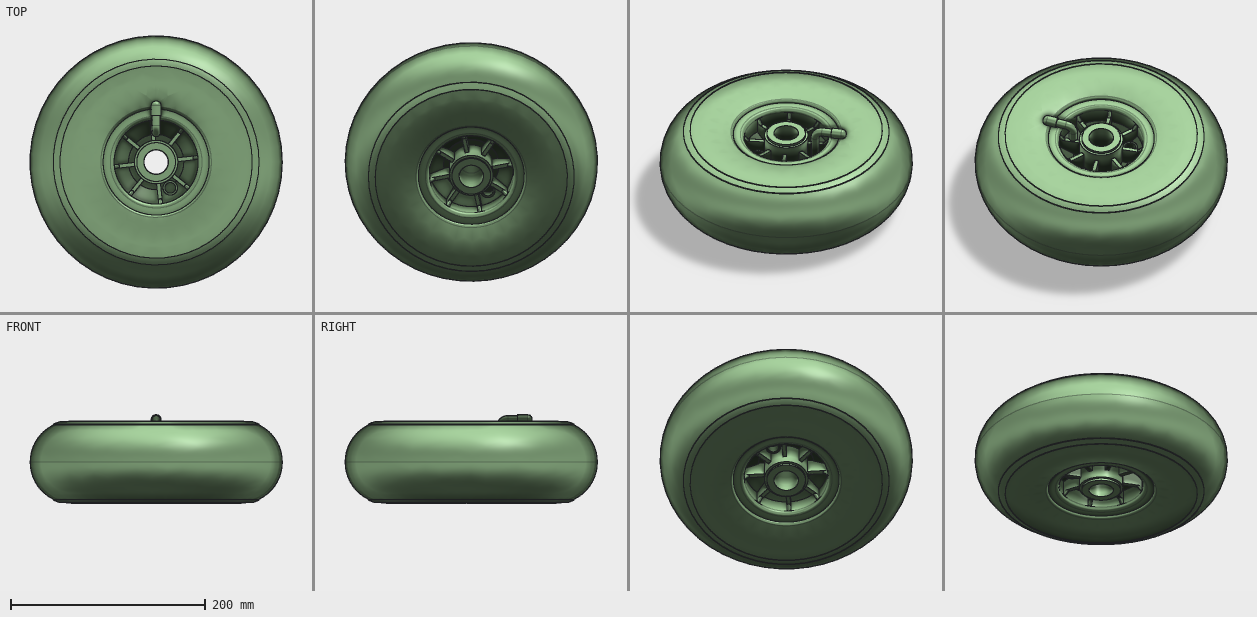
import cadquery as cq
import math

TYRE_RADIUS = 130.0
TYRE_HALF_WIDTH = 42.5
CROWN_RADIUS = TYRE_RADIUS - TYRE_HALF_WIDTH
BAND_OUTER = 106.0
BAND_INNER = 99.0
BAND_HEIGHT = 0.8
SIDEWALL_CREST = 83.0
LIP_RADIUS = 57.0
LIP_HEIGHT = 38.5
LIP_ROUNDING = 3.2

RIM_RADIUS = 54.6
RIM_HALF_WIDTH = 35.5
DISH_RADIUS = 43.3
DISH_EDGE_FILLET = 4.0
CONE_TOP = 15.6
CONE_INNER = 28.5
CONE_BOTTOM = 8.4
FLOOR_HEIGHT = 7.4
HUB_RADIUS = 22.4
HUB_HALF_LENGTH = 35.0

RIB_COUNT = 8
RIB_ANGLE = 6.25
RIB_THICKNESS = 4.0
RIB_TOP = 26.2
RIB_RAMP_HEIGHT = RIM_HALF_WIDTH - DISH_EDGE_FILLET - RIB_TOP
RIB_RAMP_START = DISH_RADIUS - RIB_RAMP_HEIGHT
RAMP_DIRECTION = cq.Vector(1, 0, 1)
RIB_RAMP_ROUNDING = 1.8
RIB_EMBED = 1.0

BOSS_ANGLE = RIB_ANGLE - 1.5 * 360.0 / RIB_COUNT
BOSS_DISTANCE = 30.3
BOSS_RADIUS = 7.5
BOSS_BORE_RADIUS = 5.5
BOSS_TOP = 17.0

SLEEVE_RADIUS = 20.0
SLEEVE_HALF_LENGTH = 37.5
BORE_RADIUS = 12.5

OVERALL_TOP = 48.85
CAP_RADIUS = 5.1
STEM_RADIUS = 4.2
VALVE_AXIS_HEIGHT = OVERALL_TOP - CAP_RADIUS
STEM_DISTANCE = 30.3
ELBOW_RADIUS = 7.4
STEM_END = 47.7
CAP_END = 62.8
CAP_ROUNDING = 4.7


def crown_height(radius, growth=0.0):
    """Height of the round tyre section, grown outward by a given amount."""
    return math.sqrt((TYRE_HALF_WIDTH + growth) ** 2 - (radius - CROWN_RADIUS) ** 2)


def sidewall_height(radius):
    """Height of the shallow sidewall arc, which passes over its crest and down to the lip."""
    drop = TYRE_HALF_WIDTH - LIP_HEIGHT
    run = SIDEWALL_CREST - LIP_RADIUS
    arc_radius = (run ** 2 + drop ** 2) / (2 * drop)
    return TYRE_HALF_WIDTH - arc_radius + math.sqrt(arc_radius ** 2 - (radius - SIDEWALL_CREST) ** 2)


def build_tyre():
    """Solid tyre: round tread, banded shoulders, shallow sidewalls and a slight seat under the cap."""
    tread_middle = (TYRE_RADIUS + BAND_OUTER) / 2
    tread_edge = crown_height(BAND_OUTER)
    band_outer_top = crown_height(BAND_OUTER, BAND_HEIGHT)
    band_middle = (BAND_OUTER + BAND_INNER) / 2
    band_middle_top = crown_height(band_middle, BAND_HEIGHT)
    band_inner_top = crown_height(BAND_INNER, BAND_HEIGHT)
    wall_edge = sidewall_height(BAND_INNER)
    upper_half = (
        cq.Workplane("XZ")
        .moveTo(RIM_RADIUS, 0)
        .lineTo(TYRE_RADIUS, 0)
        .threePointArc((tread_middle, crown_height(tread_middle)), (BAND_OUTER, tread_edge))
        .lineTo(BAND_OUTER, band_outer_top)
        .threePointArc((band_middle, band_middle_top), (BAND_INNER, band_inner_top))
        .lineTo(BAND_INNER, wall_edge)
        .threePointArc((SIDEWALL_CREST, TYRE_HALF_WIDTH), (LIP_RADIUS, LIP_HEIGHT))
        .radiusArc((RIM_RADIUS, RIM_HALF_WIDTH), -LIP_ROUNDING)
        .close()
        .revolve(360, (0, 0), (0, 1))
    )
    return upper_half.union(upper_half.mirror("XY")).cut(build_cap())


def rib():
    """One rib along +X whose outer end climbs the dish wall as a rounded ramp."""
    inner = HUB_RADIUS - RIB_EMBED
    outer = DISH_RADIUS + RIB_EMBED
    ramp_top = RIB_TOP + RIB_RAMP_HEIGHT
    return (
        cq.Workplane("XZ")
        .moveTo(inner, 0)
        .lineTo(inner, RIB_TOP)
        .lineTo(RIB_RAMP_START, RIB_TOP)
        .lineTo(DISH_RADIUS, ramp_top)
        .lineTo(outer, ramp_top)
        .lineTo(outer, 0)
        .close()
        .extrude(RIB_THICKNESS / 2, both=True)
        .edges(cq.selectors.ParallelDirSelector(RAMP_DIRECTION))
        .fillet(RIB_RAMP_ROUNDING)
    )


def boss_position():
    """X and Y of the boss axis."""
    angle = math.radians(BOSS_ANGLE)
    return BOSS_DISTANCE * math.cos(angle), BOSS_DISTANCE * math.sin(angle)


def boss_ring():
    """Boss cylinder, trimmed where it would reach into the hub."""
    ring = cq.Workplane("XY").center(*boss_position()).circle(BOSS_RADIUS).extrude(BOSS_TOP)
    hub = cq.Workplane("XY").circle(HUB_RADIUS).extrude(BOSS_TOP)
    return ring.cut(hub)


def boss_bore():
    """Blind bore of the boss, down to the flat floor around the hub."""
    return (
        cq.Workplane("XY", origin=(*boss_position(), FLOOR_HEIGHT))
        .circle(BOSS_BORE_RADIUS)
        .extrude(BOSS_TOP - FLOOR_HEIGHT)
    )


def half_rim():
    """Upper half of the rim: flange, dished web, hub, ribs and boss."""
    body = (
        cq.Workplane("XZ")
        .moveTo(SLEEVE_RADIUS, 0)
        .lineTo(RIM_RADIUS, 0)
        .lineTo(RIM_RADIUS, RIM_HALF_WIDTH)
        .lineTo(DISH_RADIUS + DISH_EDGE_FILLET, RIM_HALF_WIDTH)
        .radiusArc((DISH_RADIUS, RIM_HALF_WIDTH - DISH_EDGE_FILLET), -DISH_EDGE_FILLET)
        .lineTo(DISH_RADIUS, CONE_TOP)
        .lineTo(CONE_INNER, CONE_BOTTOM)
        .lineTo(CONE_INNER, FLOOR_HEIGHT)
        .lineTo(HUB_RADIUS, FLOOR_HEIGHT)
        .lineTo(HUB_RADIUS, HUB_HALF_LENGTH)
        .lineTo(SLEEVE_RADIUS, HUB_HALF_LENGTH)
        .close()
        .revolve(360, (0, 0), (0, 1))
    )
    for index in range(RIB_COUNT):
        angle = RIB_ANGLE + index * 360.0 / RIB_COUNT
        body = body.union(rib().rotate((0, 0, 0), (0, 0, 1), angle))
    return body.union(boss_ring()).cut(boss_bore())


def build_stem():
    """Bent tube rising from the dish floor and turning outward along +Y."""
    path = (
        cq.Workplane("YZ")
        .moveTo(STEM_DISTANCE, FLOOR_HEIGHT)
        .lineTo(STEM_DISTANCE, VALVE_AXIS_HEIGHT - ELBOW_RADIUS)
        .radiusArc((STEM_DISTANCE + ELBOW_RADIUS, VALVE_AXIS_HEIGHT), ELBOW_RADIUS)
        .lineTo(STEM_END, VALVE_AXIS_HEIGHT)
    )
    return cq.Workplane("XY", origin=(0, STEM_DISTANCE, FLOOR_HEIGHT)).circle(STEM_RADIUS).sweep(path)


def build_cap():
    """Round-ended cap on the outer end of the stem."""
    return (
        cq.Workplane("XZ", origin=(0, STEM_END, VALVE_AXIS_HEIGHT))
        .circle(CAP_RADIUS)
        .extrude(STEM_END - CAP_END)
        .faces(">Y")
        .edges()
        .fillet(CAP_ROUNDING)
    )


def build_rim():
    """Both rim halves as one body, with a passage for the valve stem."""
    upper_half = half_rim()
    return upper_half.union(upper_half.mirror("XY")).cut(build_stem())


def build_sleeve():
    """Bearing sleeve that stands slightly proud of the hub at both ends."""
    return (
        cq.Workplane("XY")
        .circle(SLEEVE_RADIUS)
        .circle(BORE_RADIUS)
        .extrude(SLEEVE_HALF_LENGTH, both=True)
    )


tyre = build_tyre()
rim = build_rim()
stem = build_stem()
cap = build_cap()
sleeve = build_sleeve()

bodies = [tyre, rim, sleeve, stem, cap]
result = cq.Compound.makeCompound([body.solids().val() for body in bodies])